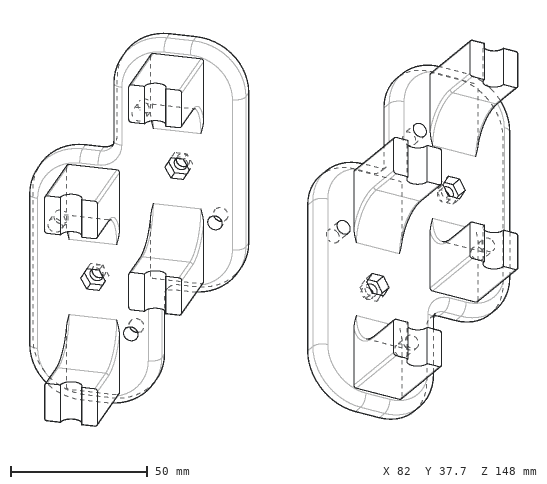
import cadquery as cq
import math

overall_width = 82.0
overall_height = 148.0
lobe_width = 50.0
lobe_height = 99.9
plate_thickness = 8.0
corner_radius = 20.0
step_radius = 5.0
rim_radius = 4.0

total_depth = 37.7
arm_width = 20.1
arm_height = 15.0
arm_end_gap = 5.0
arm_web_radius = 15.0
arm_edge_radius = 1.0
groove_radius = 4.0

screw_hole_diameter = 5.5
screw_offset_x = 14.4
screw_offset_z = 20.0
centre_hole_diameter = 5.0
hex_across_corners = 9.3
hex_depth = 5.0

lobe_shift_x = (overall_width - lobe_width) / 2
lobe_shift_z = (overall_height - lobe_height) / 2
arm_tip_y = plate_thickness - total_depth
lobe_centres = [(-lobe_shift_x, -lobe_shift_z), (lobe_shift_x, lobe_shift_z)]


def make_lobe(center):
    """Upright slab with rounded corners."""
    return (
        cq.Workplane("XZ")
        .center(*center)
        .rect(lobe_width, lobe_height)
        .extrude(-plate_thickness)
        .edges("|Y")
        .fillet(corner_radius)
    )


def make_plate():
    """Two merged lobes with rounded inner corners and a rounded front rim."""
    plate = make_lobe(lobe_centres[0]).union(make_lobe(lobe_centres[1]))
    inner_x = lobe_width / 2 - lobe_shift_x
    inner_z = lobe_height / 2 - lobe_shift_z
    for side in (1, -1):
        corner = cq.selectors.NearestToPointSelector(
            (-side * inner_x, plate_thickness / 2, side * inner_z)
        )
        plate = plate.edges("|Y").edges(corner).fillet(step_radius)
    return plate.faces("<Y").edges().fillet(rim_radius)


def make_arm(center, side):
    """Grooved arm at the upper (side = 1) or lower (side = -1) end of a lobe."""
    center_x, center_z = center
    outer_z = center_z + side * (lobe_height / 2 - arm_end_gap)
    inner_z = outer_z - side * arm_height
    web_z = inner_z - side * arm_web_radius
    bend = arm_web_radius * (1 - math.cos(math.pi / 4))
    arm = (
        cq.Workplane("YZ", origin=(center_x - arm_width / 2, 0, 0))
        .moveTo(0, outer_z)
        .lineTo(arm_tip_y, outer_z)
        .lineTo(arm_tip_y, inner_z)
        .lineTo(-arm_web_radius, inner_z)
        .threePointArc((-bend, inner_z - side * bend), (0, web_z))
        .close()
        .extrude(arm_width)
    )
    arm = arm.edges("not (|X or |Z)").fillet(arm_edge_radius)
    groove = (
        cq.Workplane("XY", origin=(center_x, arm_tip_y, inner_z))
        .circle(groove_radius)
        .extrude(side * arm_height)
    )
    return arm.cut(groove)


def make_holes(center):
    """Centre hole with a hexagonal nut pocket, and two diagonal screw holes."""
    screw_points = [(-screw_offset_x, screw_offset_z), (screw_offset_x, -screw_offset_z)]
    face = cq.Workplane("XZ").center(*center)
    screw_holes = face.pushPoints(screw_points).circle(screw_hole_diameter / 2).extrude(-plate_thickness)
    centre_hole = face.circle(centre_hole_diameter / 2).extrude(-plate_thickness)
    nut_pocket = face.polygon(6, hex_across_corners).extrude(-hex_depth)
    return screw_holes.union(centre_hole).union(nut_pocket)


result = make_plate()
for lobe_centre in lobe_centres:
    result = result.cut(make_holes(lobe_centre))
    for end in (1, -1):
        result = result.union(make_arm(lobe_centre, end))